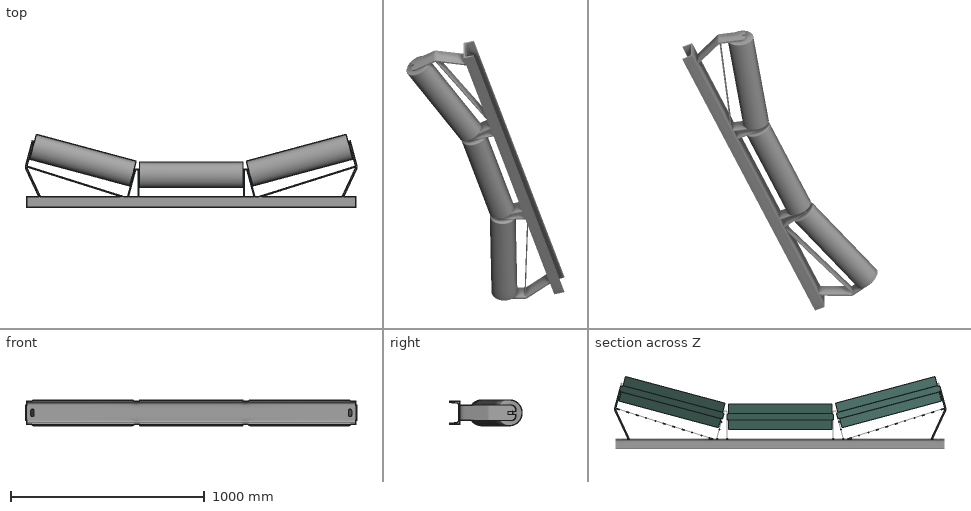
import cadquery as cq
import math

overall_length = 1712.0
trough_angle = 15.0
centre_axis_y = 113.0
wing_axis_y = 188.0

roller_radius = 67.0
roller_length = 534.0
roller_edge_radius = 4.3
shaft_diameter = 30.0
tongue_height = 25.0
tongue_width = 15.0
end_gap = 3.0

channel_length = 1698.0
channel_height = 120.0
channel_depth = 55.0
web_thickness = 7.0
flange_tip_thickness = 7.0
flange_slope = 0.08
flange_root_radius = 10.0
flange_tip_radius = 4.3
mount_slot_spacing = 1638.0
mount_slot_width = 17.0
mount_slot_height = 38.0

bracket_width = 79.0
foot_depth = 5.0
outer_thickness = 9.0
outer_top_above_axis = 29.0
outer_corner_radius = 22.0
knee_y = 150.0
leg_angle = 25.0
knee_radius = 20.0
inner_thickness = 5.0
inner_top_y = 144.0
inner_bend_radius = 5.0
strut_thickness = 5.0
strut_width = 51.0
strut_top_y = 154.0
strut_foot_x = -363.0

tilt = math.radians(trough_angle)
leg_tilt = math.radians(leg_angle)
support_face = roller_length / 2 + end_gap
outer_face = support_face + outer_thickness

knee_overshoot = knee_radius * (math.cos((leg_tilt - tilt) / 2) / math.cos((leg_tilt + tilt) / 2) - 1)
knee_x = -overall_length / 2 - knee_overshoot
axis_height_at_outer_face = wing_axis_y + outer_face * math.sin(tilt)
wing_x = (
    -knee_x
    - outer_face * math.cos(tilt)
    - (axis_height_at_outer_face - knee_y) * math.tan(tilt)
)


def extrude_centred(sketch, length):
    """Extrude a sketch so that the solid is centred on the sketch's plane."""
    shift = sketch.plane.zDir * (-length / 2)
    return sketch.extrude(length).translate(shift)


def wing_point(along, above):
    """Point in the XY plane, measured along and above the left wing roller's axis from its middle."""
    x = -wing_x + along * math.cos(tilt) + above * math.sin(tilt)
    y = wing_axis_y - along * math.sin(tilt) + above * math.cos(tilt)
    return (x, y)


def place_on_wing(body, side):
    """Move a body from the origin to the wing roller position; side is -1 (left) or 1 (right)."""
    return body.rotate((0, 0, 0), (0, 0, 1), side * trough_angle).translate((side * wing_x, wing_axis_y, 0))


def offset_path(points, distance):
    """Shift a polyline sideways to its left, keeping sharp mitred corners."""
    headings = [math.atan2(b[1] - a[1], b[0] - a[0]) for a, b in zip(points, points[1:])]
    arriving = headings[:1] + headings
    leaving = headings + headings[-1:]
    shifted = []
    for (x, y), before, after in zip(points, arriving, leaving):
        half_turn = (after - before) / 2
        normal = before + half_turn + math.pi / 2
        reach = distance / math.cos(half_turn)
        shifted.append((x + reach * math.cos(normal), y + reach * math.sin(normal)))
    return shifted


def bent_strip(points, thickness, width, bend_radius=0.0):
    """Flat bar along a polyline, thickened to its left; each bend is rounded to the outside radius."""
    other_side = offset_path(points, thickness)
    outline = points + other_side[::-1]
    strip = extrude_centred(cq.Workplane("XY").polyline(outline).close(), width)
    if bend_radius:
        for outside, inside in zip(points[1:-1], other_side[1:-1]):
            for corner, radius in ((outside, bend_radius), (inside, bend_radius - thickness)):
                if radius > 0:
                    edge = cq.selectors.NearestToPointSelector((*corner, 0))
                    strip = strip.edges("|Z").edges(edge).fillet(radius)
    return strip


def make_channel():
    half_height = channel_height / 2
    flange_reach = channel_depth - web_thickness
    tip_z = half_height - flange_tip_thickness
    root_z = tip_z - flange_slope * flange_reach
    outline = [
        (0, -half_height),
        (0, half_height),
        (-channel_depth, half_height),
        (-channel_depth, tip_z),
        (-web_thickness, root_z),
        (-web_thickness, -root_z),
        (-channel_depth, -tip_z),
        (-channel_depth, -half_height),
    ]
    channel = extrude_centred(cq.Workplane("YZ").polyline(outline).close(), channel_length)
    for side in (-1, 1):
        root = cq.selectors.NearestToPointSelector((0, -web_thickness, side * root_z))
        channel = channel.edges("|X").edges(root).fillet(flange_root_radius)
        tip = cq.selectors.NearestToPointSelector((0, -channel_depth, side * tip_z))
        channel = channel.edges("|X").edges(tip).fillet(flange_tip_radius)
    slots = (
        cq.Workplane("XZ")
        .rarray(mount_slot_spacing, 17, 2, 1)
        .slot2D(mount_slot_height, mount_slot_width, 90)
        .extrude(web_thickness)
    )
    return channel.cut(slots)


def shaft_slot(end, thickness):
    """Open-topped slot for a shaft tongue, through a plate just beyond one end of a roller at the origin."""
    height = roller_radius
    slot = cq.Workplane("XY").box(thickness, height, tongue_width)
    return slot.translate((end * (support_face + thickness / 2), (height - tongue_height) / 2, 0))


def make_outer_bracket():
    """Cranked plate that holds the outer end of the left wing shaft."""
    foot = (knee_x + (knee_y + foot_depth) * math.tan(leg_tilt), -foot_depth)
    path = [wing_point(-outer_face, outer_top_above_axis), (knee_x, knee_y), foot]
    bracket = bent_strip(path, outer_thickness, bracket_width, knee_radius)
    bracket = bracket.faces(">Y").edges("not |Z").fillet(outer_corner_radius)
    return bracket.cut(place_on_wing(shaft_slot(-1, outer_thickness), -1))


def make_inner_bracket():
    """Inverted-V plate that holds the inner end of the left wing shaft and one centre shaft end."""
    face_x, face_y = wing_point(support_face, 0)
    path = [
        (-support_face, -foot_depth),
        (-support_face, inner_top_y),
        (face_x + (inner_top_y - face_y) * math.tan(tilt), inner_top_y),
        (face_x - (face_y + foot_depth) * math.tan(tilt), -foot_depth),
    ]
    bracket = bent_strip(path, inner_thickness, bracket_width, inner_bend_radius)
    centre_slot = shaft_slot(-1, inner_thickness).translate((0, centre_axis_y, 0))
    return bracket.cut(centre_slot).cut(place_on_wing(shaft_slot(1, inner_thickness), -1))


def make_strut():
    """Sloping flat bar from the knee of the left outer bracket down to the channel."""
    top = (-overall_length / 2 + outer_thickness / 2, strut_top_y)
    slope = strut_top_y / (strut_foot_x - top[0])
    foot = (strut_foot_x + foot_depth / slope, -foot_depth)
    return bent_strip([top, foot], strut_thickness, strut_width)


def make_frame():
    """Channel with the brackets and struts welded on."""
    frame = make_channel()
    for part in (make_outer_bracket(), make_inner_bracket(), make_strut()):
        frame = frame.union(part).union(part.mirror("YZ"))
    return frame


def make_roller():
    roller = extrude_centred(cq.Workplane("YZ").circle(roller_radius), roller_length)
    roller = roller.faces("<X or >X").edges().fillet(roller_edge_radius)
    bore = extrude_centred(cq.Workplane("YZ").circle(shaft_diameter / 2), roller_length)
    return roller.cut(bore)


def make_shaft(left_tongue, right_tongue):
    """Round shaft between the support faces, with a flat tongue of the given length at each end."""
    shaft = extrude_centred(cq.Workplane("YZ").circle(shaft_diameter / 2), 2 * support_face)
    for end, length in ((-1, left_tongue), (1, right_tongue)):
        tongue = cq.Workplane("XY").box(length, tongue_height, tongue_width)
        shaft = shaft.union(tongue.translate((end * (support_face + length / 2), 0, 0)))
    return shaft


frame = make_frame()

centre_offset = (0, centre_axis_y, 0)
rollers = [make_roller().translate(centre_offset)]
shafts = [make_shaft(inner_thickness, inner_thickness).translate(centre_offset)]
for side in (-1, 1):
    left_tongue, right_tongue = (outer_thickness, inner_thickness)[::-side]
    rollers.append(place_on_wing(make_roller(), side))
    shafts.append(place_on_wing(make_shaft(left_tongue, right_tongue), side))

bodies = [frame] + rollers + shafts
result = cq.Compound.makeCompound([body.val() for body in bodies])